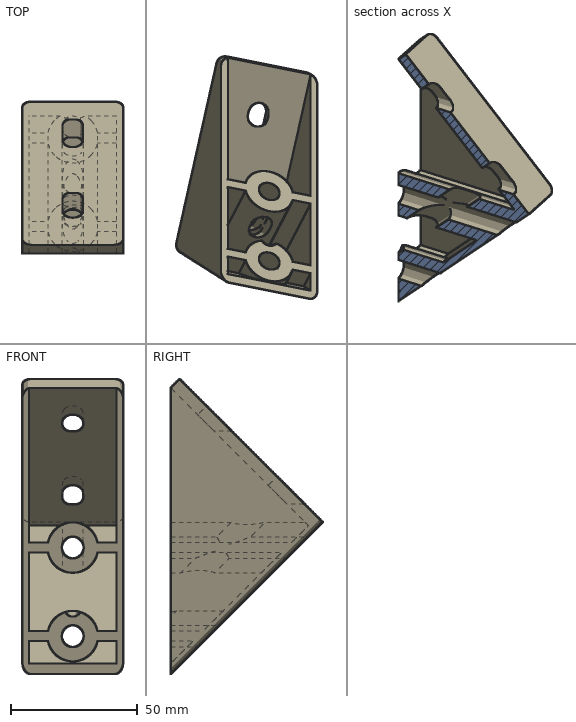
import cadquery as cq
import math

width = 40.0
height = 116.7
depth = 60.1
lip = 3.5
corner_radius = 3.5

side_wall = 2.8
lower_plate = 3.0
cavity_top = height - lip

boss_diameter = 20.0
screw_diameter = 8.5
boss_heights = (15.0, 50.0)
rib_thickness = 4.0

slot_width = 8.3
slot_height = 5.8
slot_heights = (99.0, 70.1)

oblique_width = 8.0
oblique_length = 9.5
oblique_heights = (102.7, 74.8)

upper_face_sum = height + lip


def prism(points, prism_width):
    """Extrude an outline in the YZ plane, centred on X = 0."""
    return cq.Workplane("YZ").polyline(points).close().extrude(prism_width / 2, both=True)


def along_y(z):
    """Workplane on the front face at the given height, facing +Y."""
    return cq.Workplane("XZ", origin=(0, 0, z))


def rounded_envelope():
    """Right-angled wedge with its corners rounded square to the upper face."""
    wedge = prism([(0, 0), (depth, depth), (lip, height), (0, cavity_top)], width)
    return wedge.edges(cq.selectors.ParallelDirSelector(cq.Vector(0, 1, 1))).fillet(corner_radius)


def cavity():
    """Triangular hollow, open at the front."""
    front_bottom = lower_plate * math.sqrt(2)
    apex_y = (cavity_top - front_bottom) / 2
    outline = [(0, front_bottom), (apex_y, cavity_top - apex_y), (0, cavity_top)]
    return prism(outline, width - 2 * side_wall)


def boss_and_ribs(z):
    """Screw boss with a rib to each side wall, running back from the front face."""
    boss = along_y(z).circle(boss_diameter / 2).extrude(-depth)
    rib = along_y(z).rect(width - side_wall, rib_thickness).extrude(-depth)
    return boss.union(rib)


def screw_hole(z):
    """Round hole through a boss and the lower plate."""
    return along_y(z).circle(screw_diameter / 2).extrude(-depth)


def level_slot(z):
    """Slot parallel to Y that pierces only the upper plate."""
    y_start = (cavity_top - z) - slot_height / 2
    return along_y(z).workplane(offset=-y_start).slot2D(slot_width, slot_height).extrude(-depth)


def oblique_slot(z):
    """Slot square to the upper face that runs down to the front opening."""
    face = cq.Plane(origin=(0, upper_face_sum - z, z), xDir=(0, -1, 1), normal=(0, 1, 1))
    return cq.Workplane(face).slot2D(oblique_length, oblique_width).extrude(height, both=True)


def slot_bridge(level_z, oblique_z):
    """Straight-sided opening through the upper plate joining a level slot to its oblique slot."""
    oblique_outer = (upper_face_sum - oblique_z, oblique_z)
    oblique_inner = (oblique_outer[0] - lip, oblique_outer[1] - lip)
    level_outer = (upper_face_sum - level_z, level_z)
    level_inner = (cavity_top - level_z, level_z)
    return prism([oblique_outer, level_outer, level_inner, oblique_inner], oblique_width)


envelope = rounded_envelope()
result = envelope.cut(cavity())
for boss_z in boss_heights:
    result = result.union(boss_and_ribs(boss_z).intersect(envelope))
for boss_z in boss_heights:
    result = result.cut(screw_hole(boss_z))
for level_z, oblique_z in zip(slot_heights, oblique_heights):
    result = result.cut(level_slot(level_z))
    result = result.cut(oblique_slot(oblique_z))
    result = result.cut(slot_bridge(level_z, oblique_z))